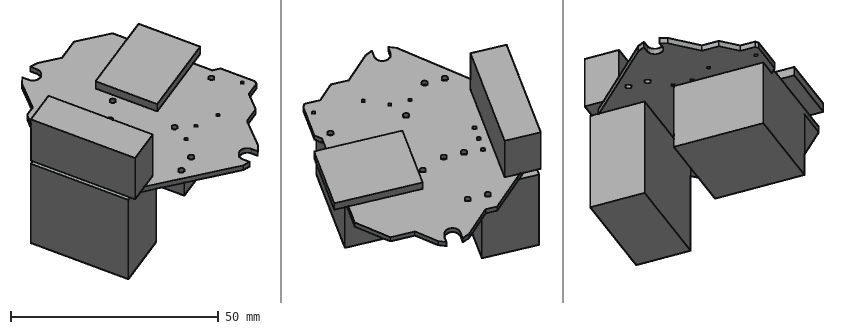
import cadquery as cq

board_thickness = 1.6
half_length = 31.0
slot_width = 4.1
slot_end = 27.15
shoulder_x = 30.15
shoulder_y = 3.9
rear_y = 21.45
tab_y = 22.95
upper_step_y = 14.6
front_y = -23.9

display_x = (-13.6, 3.2)
display_y = (2.8, 25.05)
display_height = 2.5
terminal_x = (-15.9, 12.5)
terminal_y = (-26.3, -17.2)
terminal_height = 14.0
relay_x = (-10.55, 13.25)
relay_y = (-2.3, rear_y)
relay_height = 17.9
transformer_x = (-16.2, 10.4)
transformer_y = (-25.8, -11.35)
transformer_height = 27.0

signal_hole_diameter = 0.8
signal_holes = [(16.75, 21.1), (16.75, 8.55), (13.75, 2.8), (13.75, -2.3)]
transformer_hole_diameter = 1.0
transformer_hole_y = -14.7
transformer_hole_pitch = 3.55
transformer_middle_x = -2.55
transformer_holes = [
    (transformer_middle_x + step * transformer_hole_pitch, transformer_hole_y) for step in (-1, 0, 1)
]
relay_hole_diameter = 1.5
relay_holes = [(9.4, 19.05), (9.4, 0.0), (-8.0, 1.05)]
left_hole_diameter = 1.5
left_holes = [(-19.7, -6.7), (-19.7, -11.8)]
power_hole_diameter = 1.55
power_holes = [(-5.6, -4.95), (-5.6, -10.05), (17.75, -7.2), (17.75, -12.3)]


def make_board():
    """Angular plate with an open, round-ended slot at each X end."""
    outline = [
        (-half_length, slot_width / 2),
        (-shoulder_x, shoulder_y),
        (-25.65, 8.4),
        (-25.65, upper_step_y),
        (-18.8, rear_y),
        (8.4, rear_y),
        (9.85, tab_y),
        (19.2, tab_y),
        (19.95, 22.4),
        (19.95, 18.4),
        (23.9, upper_step_y),
        (23.9, 10.05),
        (shoulder_x, shoulder_y),
        (half_length, slot_width / 2),
        (half_length, -slot_width / 2),
        (shoulder_x, -shoulder_y),
        (10.0, front_y),
        (-13.0, front_y),
        (-24.0, -12.85),
        (-24.0, -9.9),
        (-shoulder_x, -shoulder_y),
        (-half_length, -slot_width / 2),
    ]
    board = cq.Workplane("XY").polyline(outline).close().extrude(board_thickness)
    slot_length = 2 * (half_length - slot_end) + slot_width
    slot_center = slot_end + slot_length / 2
    slots = (
        cq.Workplane("XY")
        .pushPoints([(-slot_center, 0), (slot_center, 0)])
        .slot2D(slot_length, slot_width)
        .extrude(board_thickness)
    )
    return board.cut(slots)


def drill(board, centers, diameter):
    """Cut round holes through the whole board thickness."""
    holes = cq.Workplane("XY").pushPoints(centers).circle(diameter / 2).extrude(board_thickness)
    return board.cut(holes)


def component(x_limits, y_limits, base_z, height):
    """Plain box between the given limits; a negative height hangs downward."""
    x_size = x_limits[1] - x_limits[0]
    y_size = y_limits[1] - y_limits[0]
    return (
        cq.Workplane("XY", origin=(x_limits[0], y_limits[0], base_z))
        .rect(x_size, y_size, centered=False)
        .extrude(height)
    )


board = make_board()
board = drill(board, signal_holes, signal_hole_diameter)
board = drill(board, transformer_holes, transformer_hole_diameter)
board = drill(board, relay_holes, relay_hole_diameter)
board = drill(board, left_holes, left_hole_diameter)
board = drill(board, power_holes, power_hole_diameter)

result = (
    board
    .union(component(display_x, display_y, board_thickness, display_height))
    .union(component(terminal_x, terminal_y, board_thickness, terminal_height))
    .union(component(relay_x, relay_y, 0, -relay_height))
    .union(component(transformer_x, transformer_y, 0, -transformer_height))
)